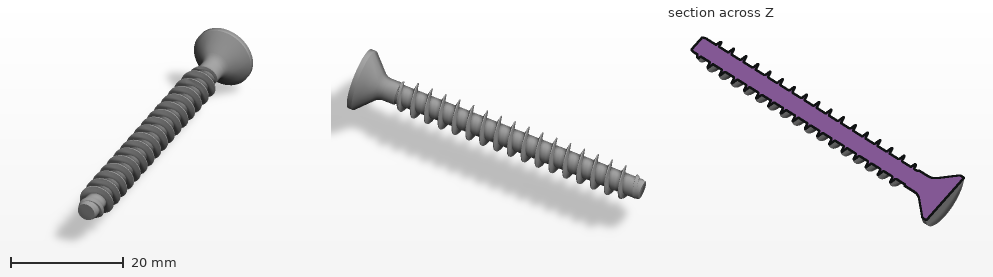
import cadquery as cq
import math

length = 55.0

head_diameter = 11.3
head_radius = head_diameter / 2
rim_height = 0.95
shank_radius = 2.1
neck_fillet = 2.2
shank_end = 7.5
head_half_angle = math.radians(45)

core_diameter = 3.7
core_radius = core_diameter / 2
tip_radius = 1.65

thread_diameter = 6.2
thread_radius = thread_diameter / 2
pitch = 2.7
turns = 19
root_width = 0.9
crest_width = 0.15
root_overlap = 0.35
thread_start_depth = 55.75

runout_radius = 2.3
full_thread_begin = 10.25
full_thread_end = 50.7
thread_end = 54.45
faded_radius = 1.8
envelope_clearance = 0.15


def make_head():
    """Head, filleted neck, and shank as one revolved profile."""
    cone_end_radius = shank_radius + neck_fillet * (1 - math.cos(head_half_angle))
    cone_end = rim_height + (head_radius - cone_end_radius) / math.tan(head_half_angle)
    neck_end = cone_end + neck_fillet * math.sin(head_half_angle)
    half_turn = head_half_angle / 2
    neck_middle = (
        shank_radius + neck_fillet * (1 - math.cos(half_turn)),
        -neck_end + neck_fillet * math.sin(half_turn),
    )
    return (
        cq.Workplane("XZ")
        .lineTo(head_radius, 0)
        .lineTo(head_radius, -rim_height)
        .lineTo(cone_end_radius, -cone_end)
        .threePointArc(neck_middle, (shank_radius, -neck_end))
        .lineTo(shank_radius, -shank_end)
        .lineTo(0, -shank_end)
        .close()
        .revolve(360, (0, 0, 0), (0, 1, 0))
    )


def make_threaded_core():
    """Core with a right-handed helical ridge, trimmed so that the ridge runs out at both ends."""
    inner_radius = core_radius - root_overlap
    helix = cq.Wire.makeHelix(pitch, turns * pitch, core_radius)
    ridge = (
        cq.Workplane("XZ")
        .moveTo(inner_radius, -root_width / 2)
        .lineTo(thread_radius, -crest_width / 2)
        .lineTo(thread_radius, crest_width / 2)
        .lineTo(inner_radius, root_width / 2)
        .close()
        .sweep(cq.Workplane(helix), isFrenet=True)
        .translate((0, 0, -thread_start_depth))
    )
    core = cq.Workplane("XY").circle(core_radius).extrude(-length - pitch)
    envelope_radius = thread_radius + envelope_clearance
    envelope = (
        cq.Workplane("XZ")
        .moveTo(0, -shank_end)
        .lineTo(runout_radius, -shank_end)
        .lineTo(envelope_radius, -full_thread_begin)
        .lineTo(envelope_radius, -full_thread_end)
        .lineTo(faded_radius, -thread_end)
        .lineTo(tip_radius, -length)
        .lineTo(0, -length)
        .close()
        .revolve(360, (0, 0, 0), (0, 1, 0))
    )
    return core.union(ridge).intersect(envelope)


screw = make_head().union(make_threaded_core())

result = screw.rotate((0, 0, 0), (1, 0, 0), -90)